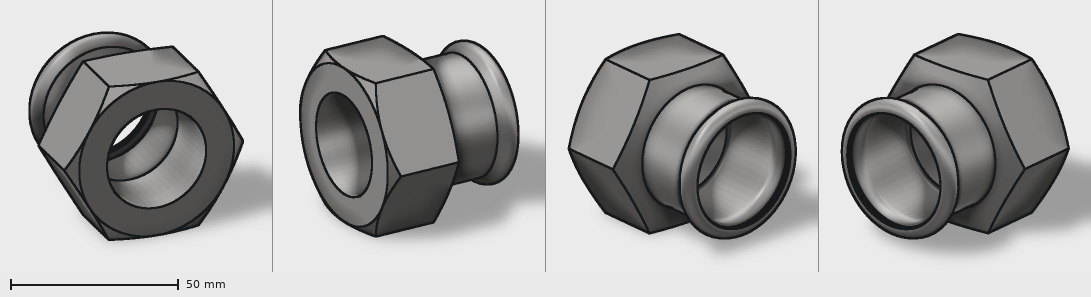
import cadquery as cq
import math

length = 48.9
hex_across_corners = 57.75
hex_across_flats = hex_across_corners * math.cos(math.pi / 6)

tube_radius = 38.4 / 2
bead_section_radius = 2.9
bead_centre_x = bead_section_radius
bead_centre_radius = 19.05
bead_tangent_angle = 45
bead_end = 7.0

mouth_edge_radius = 18.25
mouth_radius = 35.9 / 2
lip_chamfer_length = 0.4
lip_land_end = 1.25
lip_length = 2.0
groove_section_radius = 1.6
groove_blend_radius = 2.9
socket_radius = 35.3 / 2
socket_depth = 26.55
socket_corner = 0.6
bore_radius = 32.0 / 2

neck_x = 23.1
cone_start_x = 23.9
cone_start_radius = 38.95 / 2
rear_cone_angle = math.radians(15)
front_chamfer_angle = math.radians(30)


def revolve_about_x(profile):
    return profile.close().revolve(360, (0, 0, 0), (1, 0, 0))


def bead_point(section_radius, angle):
    """Point on a circle about the bead section centre; angle in degrees from +X."""
    return (
        bead_centre_x + section_radius * math.cos(math.radians(angle)),
        bead_centre_radius + section_radius * math.sin(math.radians(angle)),
    )


def make_tube():
    """Bead, straight tube and the small flare that meets the nut."""
    profile = (
        cq.Workplane("XY")
        .lineTo(0, bead_centre_radius)
        .threePointArc(
            bead_point(bead_section_radius, (180 + bead_tangent_angle) / 2),
            bead_point(bead_section_radius, bead_tangent_angle),
        )
        .lineTo(bead_end, tube_radius)
        .lineTo(neck_x, tube_radius)
        .tangentArcPoint((cone_start_x, cone_start_radius), relative=False)
        .lineTo(cone_start_x, 0)
    )
    return revolve_about_x(profile)


def make_nut():
    """Hexagon with two opposite corners on Y, trimmed by a cone at each end."""
    hexagon = (
        cq.Workplane("YZ", origin=(cone_start_x, 0, 0))
        .polygon(6, hex_across_corners)
        .extrude(length - cone_start_x)
    )
    corner_radius = hex_across_corners / 2
    face_radius = hex_across_flats / 2
    rear_corner_x = cone_start_x + (corner_radius - cone_start_radius) * math.tan(rear_cone_angle)
    front_corner_x = length - (corner_radius - face_radius) * math.tan(front_chamfer_angle)
    envelope = (
        cq.Workplane("XY")
        .moveTo(cone_start_x, 0)
        .lineTo(cone_start_x, cone_start_radius)
        .lineTo(rear_corner_x, corner_radius)
        .lineTo(front_corner_x, corner_radius)
        .lineTo(length, face_radius)
        .lineTo(length, 0)
    )
    return hexagon.intersect(revolve_about_x(envelope))


def make_passage():
    """Lip chamfered on both sides, seal groove blending into the socket, then a plain bore."""
    groove_start_angle = math.degrees(math.acos((lip_length - bead_centre_x) / groove_section_radius))
    groove_tangent = bead_point(groove_section_radius, bead_tangent_angle)

    wall_angle = math.radians(bead_tangent_angle)
    blend_start_radius = socket_radius + groove_blend_radius * (1 - math.sin(wall_angle))
    blend_start_x = groove_tangent[0] + (groove_tangent[1] - blend_start_radius) * math.tan(wall_angle)
    blend_end_x = blend_start_x + groove_blend_radius * math.cos(wall_angle)

    corner_mid = socket_corner * (1 - math.sqrt(0.5))
    profile = (
        cq.Workplane("XY")
        .lineTo(0, mouth_edge_radius)
        .lineTo(lip_chamfer_length, mouth_radius)
        .lineTo(lip_land_end, mouth_radius)
        .lineTo(lip_length, mouth_edge_radius)
        .lineTo(*bead_point(groove_section_radius, groove_start_angle))
        .threePointArc(
            bead_point(groove_section_radius, (groove_start_angle + bead_tangent_angle) / 2),
            groove_tangent,
        )
        .lineTo(blend_start_x, blend_start_radius)
        .tangentArcPoint((blend_end_x, socket_radius), relative=False)
        .lineTo(socket_depth - socket_corner, socket_radius)
        .threePointArc(
            (socket_depth - corner_mid, socket_radius - corner_mid),
            (socket_depth, socket_radius - socket_corner),
        )
        .lineTo(socket_depth, bore_radius)
        .lineTo(length, bore_radius)
        .lineTo(length, 0)
    )
    return revolve_about_x(profile)


result = make_tube().union(make_nut()).cut(make_passage())